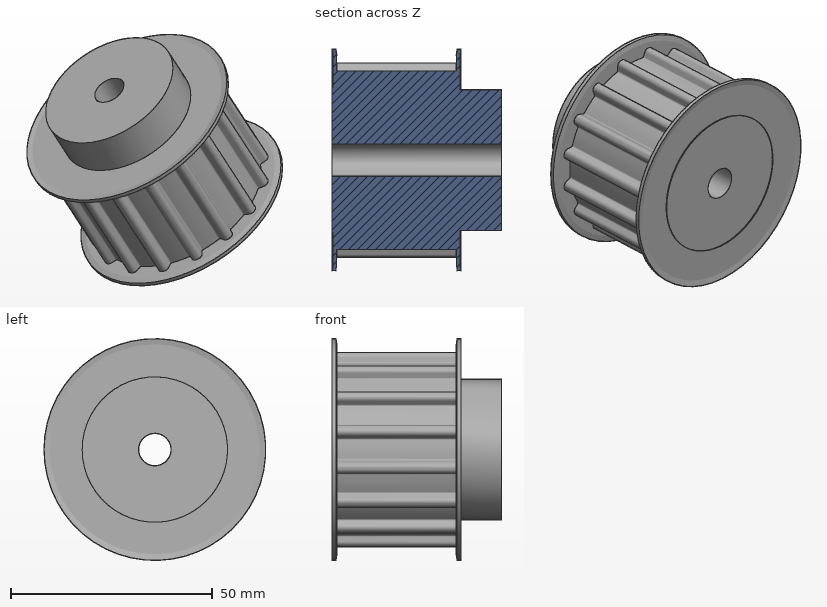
import cadquery as cq
import math


total_length = 42.0
drum_length = 32.0
flange_thickness = 1.0
flange_dish = 0.25

flange_diameter = 55.0
web_diameter = 52.0
boss_diameter = 36.0
hub_diameter = 35.0
bore_diameter = 8.0

tooth_count = 16
tip_diameter = 49.05
groove_depth = 2.35
groove_floor_width = 5.3
flank_angle = 25.0
tip_fillet = 1.2
root_fillet = 0.45

tip_radius = tip_diameter / 2
root_radius = tip_radius - groove_depth
mid_plane = drum_length / 2


def disc(x_start, x_end, diameter):
    """Round disc on the X axis."""
    return cq.Workplane("YZ", origin=(x_start, 0, 0)).circle(diameter / 2).extrude(x_end - x_start)


def flange():
    """Sheet flange at the -X end, its rim flared outwards as a cone of constant thickness."""
    rim_radius = flange_diameter / 2
    web_radius = web_diameter / 2
    section = [
        (flange_dish, 0),
        (flange_dish, web_radius),
        (0, rim_radius),
        (flange_thickness, rim_radius),
        (flange_thickness + flange_dish, web_radius),
        (flange_thickness + flange_dish, 0),
    ]
    return cq.Workplane("XY").polyline(section).close().revolve(360, (0, 0, 0), (1, 0, 0))


def groove_cutter(x_start, length):
    """Trapezoidal tooth gap facing -Y, with a floor concentric to the drum."""
    corner_y = -math.sqrt(root_radius**2 - (groove_floor_width / 2) ** 2)
    mouth_y = -(tip_radius + groove_depth)
    mouth_half_width = groove_floor_width / 2 + (corner_y - mouth_y) * math.tan(math.radians(flank_angle))
    return (
        cq.Workplane("YZ", origin=(x_start, 0, 0))
        .moveTo(mouth_y, -mouth_half_width)
        .lineTo(corner_y, -groove_floor_width / 2)
        .threePointArc((-root_radius, 0), (corner_y, groove_floor_width / 2))
        .lineTo(mouth_y, mouth_half_width)
        .close()
        .extrude(length)
    )


def edges_between(body, inner_radius, outer_radius):
    """Axial edges of the drum whose distance from the axis lies between two radii."""

    def in_ring(edge):
        centre = edge.Center()
        return inner_radius < math.hypot(centre.y, centre.z) < outer_radius

    return body.edges("|X").filter(in_ring)


def toothed_drum():
    """Drum with evenly spaced rounded teeth, a tooth gap centred on -Y."""
    x_start = flange_dish
    length = drum_length - 2 * flange_dish
    drum = disc(x_start, x_start + length, tip_diameter)
    cutter = groove_cutter(x_start, length)
    for index in range(tooth_count):
        drum = drum.cut(cutter.rotate((0, 0, 0), (1, 0, 0), index * 360 / tooth_count))
    mid_radius = (root_radius + tip_radius) / 2
    drum = edges_between(drum, 0, mid_radius).fillet(root_fillet)
    return edges_between(drum, mid_radius, 2 * tip_radius).fillet(tip_fillet)


first_flange = flange()
second_flange = first_flange.mirror("YZ", (mid_plane, 0, 0))
boss = disc(0, mid_plane, boss_diameter)
hub = disc(mid_plane, total_length, hub_diameter)
bore = disc(0, total_length, bore_diameter)

result = toothed_drum().union(first_flange).union(second_flange).union(boss).union(hub).cut(bore)